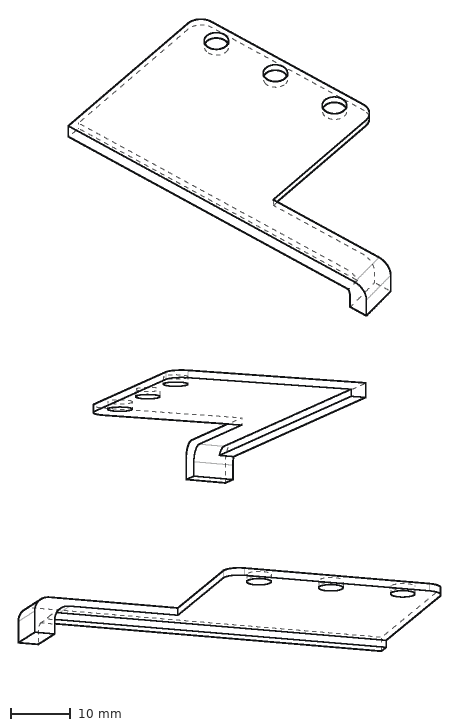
import cadquery as cq

length = 63.9
depth = 34.95
height = 6.3

plate_width = 38.15
plate_thickness = 1.3
corner_radius = 2.8
arm_width = 7.3

rib_width = 2.7
rib_height = 2.5

hook_thickness = 3.5
hook_skew = 0.6
bend_radius = 2.55

hole_diameter = 4.1
hole_pitch = 12.65
hole_count = 3
hole_edge_distance = 3.2


def slab(outline, thickness):
    """Extrude an XY outline downward from the top face."""
    return cq.Workplane("XY").polyline(outline).close().extrude(-thickness)


def skewed_strip(left, right, strip_width, thickness):
    """Strip from left to a right end that is parallel to the skewed hook."""
    back_right = right - hook_skew * strip_width / arm_width
    outline = [(left, 0), (right, 0), (back_right, strip_width), (left, strip_width)]
    return slab(outline, thickness)


def make_plate():
    plate = cq.Workplane("XY").box(plate_width, depth, plate_thickness, centered=False)
    plate = plate.translate((0, 0, -plate_thickness))
    return plate.edges("|Z and >Y").fillet(corner_radius)


def make_hook():
    """L-shaped arm end with a rounded bend outside and inside."""
    inner_face = length - hook_thickness
    arm = skewed_strip(plate_width, length, arm_width, height)
    space = skewed_strip(0, inner_face, arm_width, height)
    space = space.translate((0, 0, -plate_thickness))
    space = space.faces(">Z").edges(">X").fillet(bend_radius)
    arm = arm.faces(">Z").edges(">X").fillet(bend_radius)
    return arm.cut(space)


def make_rib():
    return skewed_strip(0, length - hook_thickness, rib_width, rib_height)


def make_holes():
    return (
        cq.Workplane("XY")
        .center(plate_width / 2, depth - hole_edge_distance)
        .rarray(hole_pitch, 0.65, hole_count, 1)
        .circle(hole_diameter / 2)
        .extrude(-plate_thickness)
    )


result = make_plate().union(make_hook()).union(make_rib()).cut(make_holes())